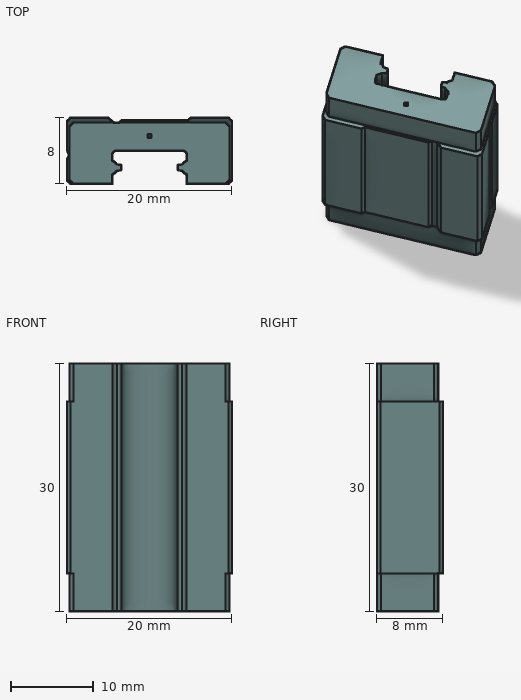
import cadquery as cq

length = 30.0
block_width = 20.0
block_height = 8.0
block_chamfer = 0.45

cap_length = 4.6
cap_side_inset = 0.3
cap_back_inset = 0.58
cap_chamfer = 0.5

channel_half_width = 4.5
channel_depth = 4.0
channel_corner_radius = 0.5

rib_center_y = 1.97
rib_root_half_width = 0.85
rib_shoulder_x = 3.95
rib_shoulder_half_width = 0.4
rib_tip_x = 3.4
rib_tip_half_width = 0.34
rib_tip_radius = 0.2
rib_flank_bulge = 0.04

recess_wall_run = 1.15
relief_width = 10.0
relief_depth = 0.3

back_groove_width = 2.0
back_groove_depth = 0.6

side_groove_center_y = 3.5
side_groove_width = 1.1
side_groove_depth = 0.2

port_diameter = 0.5
port_depth = 1.0
port_y = 5.8

block_length = length - 2 * cap_length


def chamfered_bar(width, height, bar_length, chamfer):
    """Bar standing on Y = 0 with all four lengthwise edges chamfered."""
    half_width = width / 2
    flat_half_width = half_width - chamfer
    outline = [
        (-flat_half_width, 0),
        (flat_half_width, 0),
        (half_width, chamfer),
        (half_width, height - chamfer),
        (flat_half_width, height),
        (-flat_half_width, height),
        (-half_width, height - chamfer),
        (-half_width, chamfer),
    ]
    return cq.Workplane("XY").polyline(outline).close().extrude(bar_length / 2, both=True)


def back_recess(center_x, width, depth):
    """Cutter for a trapezoidal recess along the back face of the block."""
    floor_y = block_height - depth
    half_width = width / 2
    floor_half_width = half_width - depth * recess_wall_run
    outline = [
        (center_x - half_width, block_height),
        (center_x - floor_half_width, floor_y),
        (center_x + floor_half_width, floor_y),
        (center_x + half_width, block_height),
    ]
    return cq.Workplane("XY").polyline(outline).close().extrude(block_length / 2, both=True)


def side_groove():
    """Cutter for the round groove, a full cylinder whose axis lies outside the block."""
    half_width = side_groove_width / 2
    radius = (half_width**2 + side_groove_depth**2) / (2 * side_groove_depth)
    axis_x = -block_width / 2 + side_groove_depth - radius
    return (
        cq.Workplane("XY")
        .center(axis_x, side_groove_center_y)
        .circle(radius)
        .extrude(block_length / 2, both=True)
    )


def main_block():
    block = chamfered_bar(block_width, block_height, block_length, block_chamfer)
    relief = back_recess(0, relief_width, relief_depth)
    groove_center_x = (back_groove_width - relief_width) / 2
    groove = back_recess(groove_center_x, back_groove_width, back_groove_depth)
    return block.cut(relief).cut(groove).cut(side_groove())


def end_cap(end):
    """Cap at the +Z end (end = 1) or the -Z end (end = -1)."""
    cap_width = block_width - 2 * cap_side_inset
    cap_height = block_height - cap_back_inset
    cap = chamfered_bar(cap_width, cap_height, cap_length, cap_chamfer)
    return cap.translate((0, 0, end * (block_length + cap_length) / 2))


def rib():
    """Rib on the -X channel wall, with convex flanks and a rounded tip."""
    root_x = -channel_half_width
    root_low = rib_center_y - rib_root_half_width
    root_high = rib_center_y + rib_root_half_width
    shoulder_low = rib_center_y - rib_shoulder_half_width
    shoulder_high = rib_center_y + rib_shoulder_half_width
    outline = (
        cq.Workplane("XY", origin=(0, 0, -length / 2))
        .moveTo(root_x, root_low)
        .sagittaArc((-rib_shoulder_x, shoulder_low), -rib_flank_bulge)
        .lineTo(-rib_tip_x, rib_center_y - rib_tip_half_width)
        .lineTo(-rib_tip_x, rib_center_y + rib_tip_half_width)
        .lineTo(-rib_shoulder_x, shoulder_high)
        .sagittaArc((root_x, root_high), -rib_flank_bulge)
        .close()
    )
    return outline.extrude(length).faces(">X").edges("|Z").fillet(rib_tip_radius)


def ribbed_channel():
    """Channel cutter with the two ribs left standing."""
    cutter = cq.Workplane("XY").box(
        2 * channel_half_width, channel_depth, length, centered=(True, False, True)
    )
    cutter = cutter.edges("|Z and >Y").fillet(channel_corner_radius)
    left_rib = rib()
    right_rib = left_rib.mirror("YZ")
    return cutter.cut(left_rib).cut(right_rib)


def port():
    return (
        cq.Workplane("XY", origin=(0, port_y, length / 2))
        .circle(port_diameter / 2)
        .extrude(-port_depth)
    )


body = main_block().union(end_cap(1)).union(end_cap(-1))
result = body.cut(ribbed_channel()).cut(port())